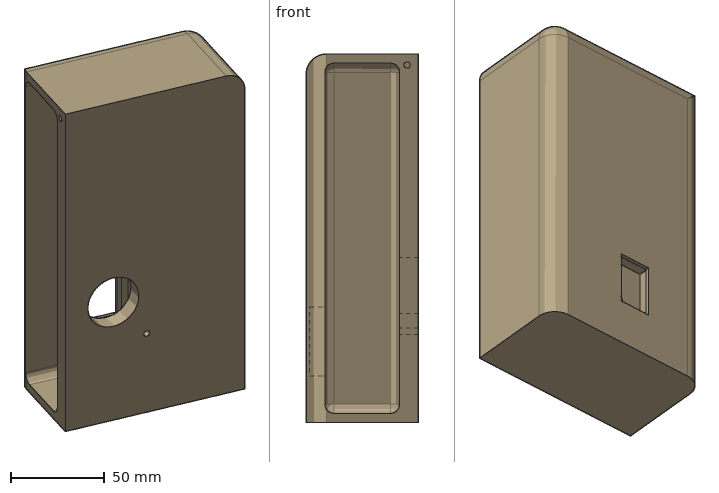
import cadquery as cq

width = 60.0
depth = 106.0
height = 197.0
outer_radius = 11.0

side_wall = 10.0
end_wall = 5.0
cavity_radius = 5.0

window_width = 19.0
window_height = 31.5
window_bottom = 27.5
window_lip = 2.0
window_recess = 2.8
window_center_y = 48.0
small_hole_diameter = 3.3
wall_hole_z = 48.9
large_hole_diameter = 30.0
large_hole_y = 28.4
large_hole_z = 73.3

rim_hole_x = 54.0
rim_hole_from_top = 6.0
rim_hole_depth = 10.0


def make_block(x_size, y_size, z_size):
    """Block with one corner at the origin."""
    return cq.Workplane("XY").box(x_size, y_size, z_size, centered=False)


def make_body():
    """Round the back and top edges, then trim with a block rounded at the front."""
    body = make_block(width, depth, height)
    body = body.edges("(|Z and <X and >Y) or (|Y and <X and >Z) or (|X and >Y and >Z)").fillet(outer_radius)
    front_trim = make_block(width, depth, height).edges("|Z and <X and <Y").fillet(outer_radius)
    return body.intersect(front_trim)


def make_cavity():
    """Pocket rounded along its length and around its back face."""
    cavity = make_block(width - 2 * side_wall, depth - side_wall, height - 2 * end_wall)
    cavity = cavity.edges("|Y or >Y").fillet(cavity_radius)
    return cavity.translate((side_wall, 0, end_wall))


def make_window():
    """Rectangular opening through the -X wall, widened behind a thin outer lip."""
    window = make_block(2 * side_wall, window_width, window_height)
    recess = make_block(
        2 * side_wall,
        window_width + 2 * window_recess,
        window_height + 2 * window_recess,
    ).translate((window_lip, -window_recess, -window_recess))
    return window.union(recess).translate((0, window_center_y - window_width / 2, window_bottom))


def make_wall_hole(diameter, y, z):
    """Round hole through the +X wall."""
    start_x = width - 2 * side_wall
    return cq.Workplane("YZ", origin=(start_x, y, z)).circle(diameter / 2).extrude(2 * side_wall)


def make_rim_hole():
    """Blind hole running inward from the open face."""
    center = (rim_hole_x, 0, height - rim_hole_from_top)
    return cq.Workplane("XZ", origin=center).circle(small_hole_diameter / 2).extrude(-rim_hole_depth)


housing = make_body().cut(make_cavity()).cut(make_window())
housing = housing.cut(make_wall_hole(small_hole_diameter, window_center_y, wall_hole_z))
housing = housing.cut(make_wall_hole(large_hole_diameter, large_hole_y, large_hole_z))
housing = housing.cut(make_rim_hole())

result = housing.translate((-width / 2, -depth / 2, 0))